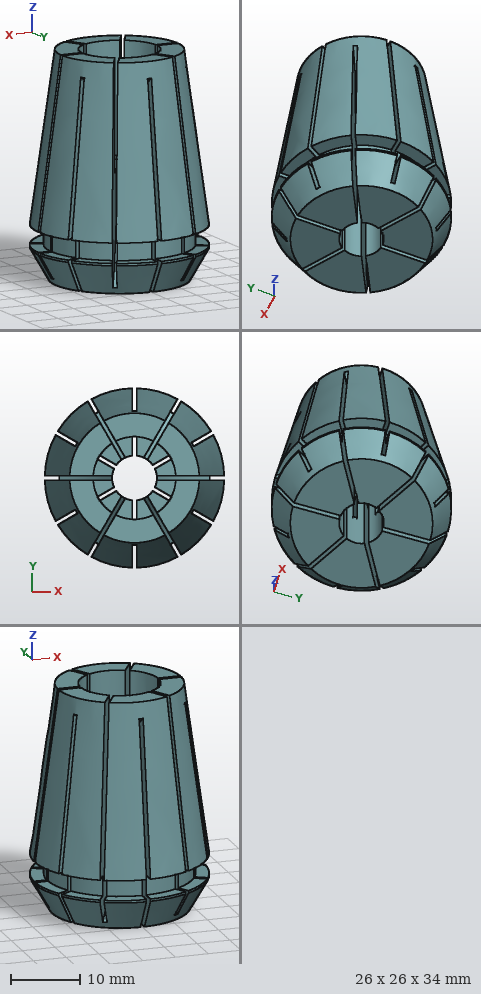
import cadquery as cq
import math

length = 34.0
max_radius = 13.005
top_radius = 9.4
nose_radius = 10.3
rim_bottom = 4.73
rim_top = 5.05
groove_top = 8.1
groove_radius = 11.0

bore_radius = 3.23
clearance_radius = 6.0
clamping_length = 17.0

slot_width = 0.6
slots_per_set = 6
slot_pitch = 360.0 / slots_per_set
saw_radius = 18.7
upper_slot_bore_height = 8.75
upper_slot_outer_height = 1.05
lower_slot_bore_height = 28.63
lower_slot_outer_height = 31.55
overshoot = 1.7


def make_body():
    """Revolve the solid outline: steep nose cone, groove and long taper."""
    outline = (
        cq.Workplane("XZ")
        .polyline([
            (0, 0),
            (nose_radius, 0),
            (max_radius, rim_bottom),
            (max_radius, rim_top),
            (groove_radius, rim_top),
            (groove_radius, groove_top),
            (max_radius, groove_top),
            (top_radius, length),
            (0, length),
        ])
        .close()
    )
    return outline.revolve(360, (0, 0, 0), (0, 1, 0))


def make_bore():
    """Narrow clamping bore opening into the wide clearance above it."""
    narrow = cq.Workplane("XY").circle(bore_radius).extrude(length)
    wide = (
        cq.Workplane("XY")
        .workplane(offset=clamping_length)
        .circle(clearance_radius)
        .extrude(length - clamping_length)
    )
    return narrow.union(wide)


def cone_radius(height):
    """Radius of the long taper at a height above the groove."""
    fraction = (height - groove_top) / (length - groove_top)
    return max_radius + fraction * (top_radius - max_radius)


def nose_cone_radius(height):
    """Radius of the steep nose cone at a height below the rim."""
    return nose_radius + (max_radius - nose_radius) * height / rim_bottom


def saw_center(inner, outer, side):
    """Centre of the saw disc whose edge passes through two (radius, height) points."""
    dr = outer[0] - inner[0]
    dz = outer[1] - inner[1]
    chord = math.hypot(dr, dz)
    rise = math.sqrt(saw_radius**2 - (chord / 2)**2)
    mid_r = (inner[0] + outer[0]) / 2
    mid_z = (inner[1] + outer[1]) / 2
    return mid_r - side * rise * dz / chord, mid_z + side * rise * dr / chord


def make_slot(inner, outer, exit_height, side):
    """Radial slot from the curved end through to exit_height (side: +1 up, -1 down)."""
    center_r, center_z = saw_center(inner, outer, side)
    disc = (
        cq.Workplane("XZ")
        .center(center_r, center_z)
        .circle(saw_radius)
        .extrude(slot_width / 2, both=True)
    )
    travel = (
        cq.Workplane("XZ")
        .polyline([
            (0, inner[1]),
            inner,
            (center_r, center_z),
            (center_r, exit_height),
            (0, exit_height),
        ])
        .close()
        .extrude(slot_width / 2, both=True)
    )
    return disc.union(travel)


def cut_slot_set(body, slot, first_angle):
    """Cut copies of a slot evenly around the axis."""
    for index in range(slots_per_set):
        angle = first_angle + index * slot_pitch
        body = body.cut(slot.rotate((0, 0, 0), (0, 0, 1), angle))
    return body


upper_slot = make_slot(
    (bore_radius, upper_slot_bore_height),
    (nose_cone_radius(upper_slot_outer_height), upper_slot_outer_height),
    length + overshoot,
    1,
)
lower_slot = make_slot(
    (clearance_radius, lower_slot_bore_height),
    (cone_radius(lower_slot_outer_height), lower_slot_outer_height),
    -overshoot,
    -1,
)

result = make_body().cut(make_bore())
result = cut_slot_set(result, upper_slot, 0)
result = cut_slot_set(result, lower_slot, slot_pitch / 2)